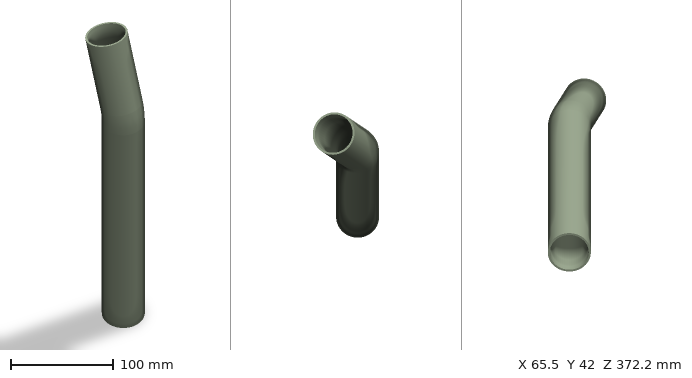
import cadquery as cq
import math

outer_diameter = 42.0
wall = 2.0
inner_diameter = outer_diameter - 2 * wall

overall_height = 372.2
bend_angle = 15.0
bend_radius = 79.3
upper_length = 83.0

angle = math.radians(bend_angle)
bend_rise = bend_radius * math.sin(angle)
bend_offset = bend_radius * (1 - math.cos(angle))
upper_rise = upper_length * math.cos(angle)
rim_rise = outer_diameter / 2 * math.sin(angle)
lower_length = overall_height - bend_rise - upper_rise - rim_rise


def tube_section(workplane):
    """Draw the annular cross-section of the tube."""
    return workplane.circle(outer_diameter / 2).circle(inner_diameter / 2)


lower_leg = tube_section(cq.Workplane("XY")).extrude(lower_length)

bend = tube_section(cq.Workplane("XY", origin=(0, 0, lower_length))).revolve(
    bend_angle, (-bend_radius, 0), (-bend_radius, -1)
)

upper_plane = cq.Plane(
    origin=(-bend_offset, 0, lower_length + bend_rise),
    xDir=(math.cos(angle), 0, math.sin(angle)),
    normal=(-math.sin(angle), 0, math.cos(angle)),
)
upper_leg = tube_section(cq.Workplane(upper_plane)).extrude(upper_length)

result = lower_leg.union(bend).union(upper_leg)